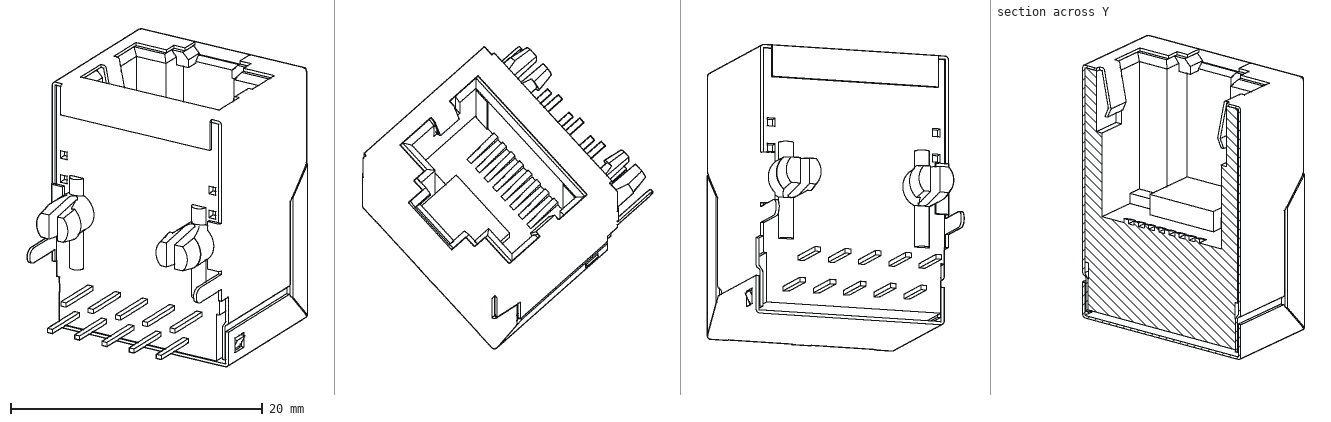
import cadquery as cq


SIDES = (-1, 1)

LENGTH = 21.6
HALF_WIDTH = 7.93
BACK = 13.25
SHEET = 0.25
BEND = 0.3
EDGE_ROUND = 0.24
INNER_HALF = HALF_WIDTH - SHEET
INNER_BACK = BACK - SHEET
INNER_TOP = LENGTH - SHEET

LIP_HALF_WIDTH = 7.0
LIP_HEIGHT = 2.6

TAB_BOTTOM = 8.73
TAB_TOP = 12.83
TAB_INNER = 6.78

TAIL_Z = 7.78
TAIL_WIDTH = 1.3
TAIL_END = -3.82

STEP_Y = 1.05
STEP_Z = 6.1
WALL_BACK = 10.43
WING_EDGE = 10.8
WALL_SHOULDER = 11.0
WING_SHOULDER = 11.17
WING_TOP = 13.26
WALL_TOP = 13.45
SEAM = 0.06
WING_FOOT = 2.61
BOTTOM_WING_TOP = 3.05
BOTTOM_WING_BACK = 10.28
JOG_TOP = 3.89
JOG_BOTTOM = 3.4
JOG_FOOT = 0.58
LAP_GAP = 0.06
LAP_HALF = INNER_HALF - LAP_GAP

RELIEF_INNER = 0.8
RELIEF_OUTER = 6.22
RELIEF_HEIGHT = 0.4
RELIEF_DEPTH = 0.48
RELIEF_SLOPE = 0.2

WINDOW_FRONT = 2.07
WINDOW_WIDTH = 1.35
WINDOW_BOTTOM = 0.93
WINDOW_HEIGHT = 1.25
CATCH_HALF_WIDTH = 8.08
CATCH_TOP = 1.99
CATCH_MARGIN = 0.09

FINGER_FRONT = 5.01
FINGER_BACK = 7.02
FINGER_TOP = 5.96
FINGER_KNEE = 5.34
FINGER_KNEE_Z = 18.27
FINGER_TIP_Z = 17.5
FINGER_HOOK = 0.35

MOUTH_HALF = 6.48
MOUTH_FRONT = 1.97
MOUTH_BACK = 10.32
MOUTH_STEP_HALF = 3.6
MOUTH_STEP_BACK = 11.45
MOUTH_SLOT_HALF = 2.57

CAVITY_HALF = 5.95
CAVITY_FRONT = 2.68
CAVITY_BACK = 9.55
CAVITY_STEP_HALF = 3.18
CAVITY_STEP_BACK = 11.1
CAVITY_SLOT_HALF = 2.03
CAVITY_SLOT_BACK = 12.2
LEAD_IN = 0.5
LEAD_IN_SIDE = MOUTH_HALF - CAVITY_HALF
SHOULDER_DEPTH = 1.2

SILL_TOP = 20.7
SILL_CHAMFER = 0.4

PLUG_FLOOR = 9.07
LEDGE_FLOOR = 9.94
LATCH_FLOOR = 10.8
LEDGE_FRONT = 8.32
LATCH_FRONT = 7.28

FINGER_POCKET_FRONT = 4.4
FINGER_POCKET_BACK = 7.2
FINGER_POCKET_FLOOR = 16.2

CONTACT_COUNT = 8
CONTACT_PITCH = 1.02
CONTACT_WIDTH = 0.48
CONTACT_BACK = 5.57
CONTACT_RISE = 1.08

RIDGE_INNER = 4.51
RIDGE_OUTER = 5.83
RIDGE_HEIGHT = 0.09

HOUSING_HALF = 7.62
HOUSING_FRONT = 0.17
HOUSING_BACK = 12.75
HOUSING_BOTTOM = 0.75
WAIST_HALF = 7.35
WAIST_TOP = 4.77

HOLE_SIZE = 0.65
HOLE_DEPTH = 0.65
HOLE_X = 6.95
HOLE_HEIGHTS = (13.3, 15.38)

RIB_X = 5.72
RIB_RADIUS = 0.63
RIB_AXIS_Y = 0.22
RIB_BOTTOM = 5.98
RIB_TOP = 13.78

PEG_X = 5.75
PEG_Z = 10.82
PEG_RADIUS = 1.62
PEG_HALF_HEIGHT = 1.68
PEG_TIP_HALF_HEIGHT = 1.04
PEG_TIP = -3.78
BARB_START = -2.22
BARB_X = 5.6
BARB_RADIUS = 1.73
BARB_TIP_RADIUS = 1.47
PEG_SLOT_X = 5.49
PEG_SLOT_WIDTH = 0.78
PEG_SLOT_ROOT = -0.45

PIN_COUNT = 5
PIN_PITCH = 2.55
PIN_WIDTH = 0.48
PIN_HEIGHT = 0.37
PIN_TIP = -3.9
PIN_ROWS = ((-5.72, 1.92), (-4.45, 4.5))


def block(x0, x1, y0, y1, z0, z1):
    """Box between two opposite corners, given in either order along X."""
    box = cq.Workplane("XY").box(abs(x1 - x0), y1 - y0, z1 - z0, centered=False)
    return box.translate((min(x0, x1), y0, z0))


def side_plate(points, x0, x1):
    """Outline of (Y, Z) points spread between two X positions."""
    return cq.Workplane("YZ").polyline(points).close().extrude(abs(x1 - x0)).translate((min(x0, x1), 0, 0))


def cross_section(points, y0, y1):
    """Outline of (X, Z) points spread between two Y positions."""
    return cq.Workplane("XZ").polyline(points).close().extrude(y0 - y1).translate((0, y0, 0))


def round_bar(x, z, radius, y0, y1, tip_radius=None):
    """Round bar along -Y from y0 to y1, tapered when a tip radius is given."""
    bar = cq.Workplane("XZ", origin=(x, y0, z)).circle(radius)
    if tip_radius is None:
        return bar.extrude(y0 - y1)
    return bar.workplane(offset=y0 - y1).circle(tip_radius).loft()


def stepped_outline(half, front, back, step_half, step_back, slot_half, slot_back):
    """Mouth outline: a rectangle with the two-step latch notch on its +Y side."""
    right = [(half, front), (half, back), (step_half, back), (step_half, step_back),
             (slot_half, step_back), (slot_half, slot_back)]
    return right + [(-x, y) for x, y in reversed(right)]


def shield_shell():
    outer = block(-HALF_WIDTH, HALF_WIDTH, 0, BACK, 0, LENGTH).edges("|Y or >Y").fillet(BEND)
    inner = block(-INNER_HALF, INNER_HALF, -SHEET, INNER_BACK, SHEET, INNER_TOP)
    shell = outer.cut(inner)
    return shell.cut(block(-HALF_WIDTH, HALF_WIDTH, 0, STEP_Y, 0, STEP_Z))


def shield_mouth():
    points = stepped_outline(MOUTH_HALF, MOUTH_FRONT, MOUTH_BACK, MOUTH_STEP_HALF,
                             MOUTH_STEP_BACK, MOUTH_SLOT_HALF, INNER_BACK)
    return cq.Workplane("XY", origin=(0, 0, INNER_TOP)).polyline(points).close().extrude(SHEET)


def side_seams(side):
    """Gaps that part the side wall, back wing and bottom wing, and the open upper back corner."""
    wall_corner = INNER_BACK - SEAM
    seams = [(BACK, LENGTH), (wall_corner, LENGTH), (wall_corner, WALL_TOP),
             (WALL_BACK, WALL_SHOULDER), (WALL_BACK, JOG_TOP), (STEP_Y, JOG_TOP),
             (STEP_Y, BOTTOM_WING_TOP), (BOTTOM_WING_BACK, BOTTOM_WING_TOP),
             (wall_corner, SHEET), (INNER_BACK, SHEET + SEAM), (WING_EDGE, WING_FOOT),
             (WING_EDGE, WING_SHOULDER), (INNER_BACK, WING_TOP), (BACK, WING_TOP)]
    return side_plate(seams, side * INNER_HALF, side * HALF_WIDTH)


def jogged_wall(side):
    """Lower side wall, stepped inward by one sheet so the bottom wing laps over it."""
    outer = side * HALF_WIDTH
    lapped = side * LAP_HALF
    lapped_inner = side * (LAP_HALF - SHEET)
    inner = side * INNER_HALF
    root = JOG_TOP + SHEET
    bend_middle = ((outer + lapped) / 2, (JOG_TOP + JOG_BOTTOM) / 2)
    profile = (cq.Workplane("XZ").moveTo(outer, root).lineTo(outer, JOG_TOP)
               .tangentArcPoint(bend_middle, relative=False)
               .tangentArcPoint((lapped, JOG_BOTTOM), relative=False)
               .lineTo(lapped, JOG_FOOT).lineTo(lapped_inner, JOG_FOOT).lineTo(lapped_inner, JOG_BOTTOM)
               .lineTo(inner, JOG_TOP).lineTo(inner, root).close())
    return profile.extrude(STEP_Y - WALL_BACK).translate((0, STEP_Y, 0))


def catch_window(side):
    return block(side * INNER_HALF, side * HALF_WIDTH, WINDOW_FRONT, WINDOW_FRONT + WINDOW_WIDTH,
                 WINDOW_BOTTOM, WINDOW_BOTTOM + WINDOW_HEIGHT)


def catch(side):
    """Wedge on the jogged wall that snaps through the window of the bottom wing."""
    outline = [(LAP_HALF, CATCH_TOP), (CATCH_HALF_WIDTH, CATCH_TOP),
               (LAP_HALF, WINDOW_BOTTOM + CATCH_MARGIN)]
    return cross_section([(side * x, z) for x, z in outline], WINDOW_FRONT + CATCH_MARGIN,
                         WINDOW_FRONT + WINDOW_WIDTH - CATCH_MARGIN)


def board_tab(side):
    """Tab folded under the housing, hollowed round the locating peg."""
    tab = block(side * TAB_INNER, side * HALF_WIDTH, -SHEET, 0, TAB_BOTTOM, TAB_TOP)
    outer_edge = ">X" if side > 0 else "<X"
    tab = tab.faces(outer_edge).edges("<Y").fillet(EDGE_ROUND)
    return tab.cut(round_bar(side * PEG_X, PEG_Z, PEG_RADIUS, 0, -SHEET))


def solder_tail(side):
    radius = TAIL_WIDTH / 2
    straight_end = TAIL_END + radius
    profile = (cq.Workplane("YZ").moveTo(0, TAIL_Z + radius).lineTo(straight_end, TAIL_Z + radius)
               .threePointArc((TAIL_END, TAIL_Z), (straight_end, TAIL_Z - radius))
               .lineTo(0, TAIL_Z - radius).close())
    return profile.extrude(SHEET).translate((min(side * INNER_HALF, side * HALF_WIDTH), 0, 0))


def spring_finger(side):
    """Finger bent from the mouth edge down into the cavity, with its tip turned back out."""
    outline = [(MOUTH_HALF, LENGTH), (FINGER_TOP, LENGTH), (FINGER_TOP, INNER_TOP),
               (FINGER_KNEE, FINGER_KNEE_Z), (FINGER_KNEE + FINGER_HOOK, FINGER_TIP_Z),
               (FINGER_KNEE + FINGER_HOOK + SHEET, FINGER_TIP_Z), (FINGER_KNEE + SHEET, FINGER_KNEE_Z),
               (FINGER_TOP + SHEET, INNER_TOP), (MOUTH_HALF, INNER_TOP)]
    finger = cross_section([(side * x, z) for x, z in outline], FINGER_FRONT, FINGER_BACK)
    bend_edge = "<X" if side > 0 else ">X"
    return finger.faces(">Z").edges(bend_edge).fillet(EDGE_ROUND)


def bend_relief(side):
    """Slot cut through the bend, narrowing towards its top."""
    top = RELIEF_HEIGHT
    outline = [(RELIEF_INNER, 0), (RELIEF_OUTER, 0), (RELIEF_OUTER, SHEET),
               (RELIEF_OUTER - RELIEF_SLOPE, top), (RELIEF_INNER + RELIEF_SLOPE, top), (RELIEF_INNER, SHEET)]
    return cross_section([(side * x, z) for x, z in outline], BACK - RELIEF_DEPTH, BACK)


def build_shield():
    lip = block(-LIP_HALF_WIDTH, LIP_HALF_WIDTH, -SHEET, 0, LENGTH - LIP_HEIGHT, LENGTH)
    lip = lip.faces("<Y").edges(">Z").fillet(EDGE_ROUND)
    shield = shield_shell().cut(shield_mouth()).union(lip)
    for side in SIDES:
        shield = shield.cut(side_seams(side)).cut(catch_window(side)).cut(bend_relief(side))
        shield = shield.union(jogged_wall(side)).union(catch(side)).union(board_tab(side))
        shield = shield.union(solder_tail(side)).union(spring_finger(side))
    return shield


def housing_block():
    body = block(-HOUSING_HALF, HOUSING_HALF, HOUSING_FRONT, HOUSING_BACK, WAIST_TOP, INNER_TOP)
    return body.union(block(-WAIST_HALF, WAIST_HALF, HOUSING_FRONT, HOUSING_BACK, HOUSING_BOTTOM, WAIST_TOP))


def lead_in():
    """Chamfered entry that narrows to the cavity outline."""
    wide = stepped_outline(MOUTH_HALF, CAVITY_FRONT - LEAD_IN, CAVITY_BACK + LEAD_IN, MOUTH_STEP_HALF,
                           CAVITY_STEP_BACK, MOUTH_SLOT_HALF, HOUSING_BACK)
    narrow = stepped_outline(CAVITY_HALF, CAVITY_FRONT, CAVITY_BACK, CAVITY_STEP_HALF,
                             CAVITY_STEP_BACK, CAVITY_SLOT_HALF, HOUSING_BACK)
    return (cq.Workplane("XY", origin=(0, 0, INNER_TOP)).polyline(wide).close()
            .workplane(offset=-LEAD_IN_SIDE).polyline(narrow).close().loft(ruled=True))


def latch_sill():
    """Space over the lowered back wall of the latch slot, whose front edge is chamfered."""
    outline = [(CAVITY_SLOT_BACK, INNER_TOP), (CAVITY_SLOT_BACK, SILL_TOP - SILL_CHAMFER),
               (CAVITY_SLOT_BACK + SILL_CHAMFER, SILL_TOP), (HOUSING_BACK, SILL_TOP),
               (HOUSING_BACK, INNER_TOP)]
    return side_plate(outline, -CAVITY_SLOT_HALF, CAVITY_SLOT_HALF)


def plug_cavity():
    plug = block(-CAVITY_HALF, CAVITY_HALF, CAVITY_FRONT, LEDGE_FRONT, PLUG_FLOOR, INNER_TOP)
    ledge = block(-CAVITY_HALF, CAVITY_HALF, LEDGE_FRONT, CAVITY_BACK, LEDGE_FLOOR, INNER_TOP)
    step = block(-CAVITY_STEP_HALF, CAVITY_STEP_HALF, CAVITY_BACK, CAVITY_STEP_BACK, LATCH_FLOOR, INNER_TOP)
    latch = block(-CAVITY_STEP_HALF, CAVITY_STEP_HALF, CAVITY_STEP_BACK, CAVITY_SLOT_BACK,
                  LATCH_FLOOR, INNER_TOP - SHOULDER_DEPTH)
    slot = block(-CAVITY_SLOT_HALF, CAVITY_SLOT_HALF, CAVITY_STEP_BACK, CAVITY_SLOT_BACK,
                 LATCH_FLOOR, INNER_TOP)
    latch_seat = block(-CAVITY_STEP_HALF, CAVITY_STEP_HALF, LATCH_FRONT, CAVITY_BACK, PLUG_FLOOR, LATCH_FLOOR)
    cavity = plug.union(ledge).cut(latch_seat)
    for space in (step, latch, slot, latch_sill(), lead_in()):
        cavity = cavity.union(space)
    return cavity


def finger_pocket(side):
    return block(side * CAVITY_HALF, side * MOUTH_HALF, FINGER_POCKET_FRONT, FINGER_POCKET_BACK,
                 FINGER_POCKET_FLOOR, INNER_TOP)


def contact(x):
    """Sloping contact standing on the plug floor against the board-side wall."""
    outline = [(CAVITY_FRONT, PLUG_FLOOR), (CONTACT_BACK, PLUG_FLOOR),
               (CAVITY_FRONT, PLUG_FLOOR + CONTACT_RISE)]
    return side_plate(outline, x - CONTACT_WIDTH / 2, x + CONTACT_WIDTH / 2)


def guide_ridge(side):
    return block(side * RIDGE_INNER, side * RIDGE_OUTER, CAVITY_FRONT, CAVITY_FRONT + RIDGE_HEIGHT,
                 PLUG_FLOOR, INNER_TOP - LEAD_IN_SIDE)


def small_hole(x, z):
    half = HOLE_SIZE / 2
    return block(x - half, x + half, HOUSING_FRONT, HOUSING_FRONT + HOLE_DEPTH, z - half, z + half)


def standoff_rib(side):
    rib = cq.Workplane("XY", origin=(side * RIB_X, RIB_AXIS_Y, RIB_BOTTOM))
    return rib.circle(RIB_RADIUS).extrude(RIB_TOP - RIB_BOTTOM)


def peg_slot(side):
    """Slot that splits the peg, with a full-round root."""
    radius = PEG_SLOT_WIDTH / 2
    root_axis = PEG_SLOT_ROOT - radius
    x = side * PEG_SLOT_X
    bottom = PEG_Z - PEG_RADIUS
    top = PEG_Z + PEG_RADIUS
    root = cq.Workplane("XY", origin=(x, root_axis, bottom)).circle(radius).extrude(top - bottom)
    return block(x - radius, x + radius, PEG_TIP, root_axis, bottom, top).union(root)


def locating_peg(side):
    """Split round peg with a barbed tip, flattened above and below towards the tip."""
    shaft = round_bar(side * PEG_X, PEG_Z, PEG_RADIUS, HOUSING_FRONT, BARB_START)
    barb = round_bar(side * BARB_X, PEG_Z, BARB_RADIUS, BARB_START, PEG_TIP, BARB_TIP_RADIUS)
    flats = [(HOUSING_FRONT, PEG_Z - PEG_HALF_HEIGHT), (HOUSING_FRONT, PEG_Z + PEG_HALF_HEIGHT),
             (PEG_TIP, PEG_Z + PEG_TIP_HALF_HEIGHT), (PEG_TIP, PEG_Z - PEG_TIP_HALF_HEIGHT)]
    peg = shaft.union(barb).intersect(side_plate(flats, 0, side * HALF_WIDTH))
    return peg.cut(peg_slot(side))


def pin(x, z):
    return block(x - PIN_WIDTH / 2, x + PIN_WIDTH / 2, PIN_TIP, HOUSING_FRONT,
                 z - PIN_HEIGHT / 2, z + PIN_HEIGHT / 2)


def build_housing():
    housing = housing_block().cut(plug_cavity())
    for index in range(CONTACT_COUNT):
        housing = housing.union(contact((index - (CONTACT_COUNT - 1) / 2) * CONTACT_PITCH))
    for side in SIDES:
        housing = housing.cut(finger_pocket(side))
        housing = housing.union(guide_ridge(side))
        for height in HOLE_HEIGHTS:
            housing = housing.cut(small_hole(side * HOLE_X, height))
        housing = housing.union(locating_peg(side)).union(standoff_rib(side))
    for first_x, row_z in PIN_ROWS:
        for index in range(PIN_COUNT):
            housing = housing.union(pin(first_x + index * PIN_PITCH, row_z))
    return housing


shield = build_shield()
housing = build_housing()

result = cq.Compound.makeCompound([shield.val(), housing.val()])